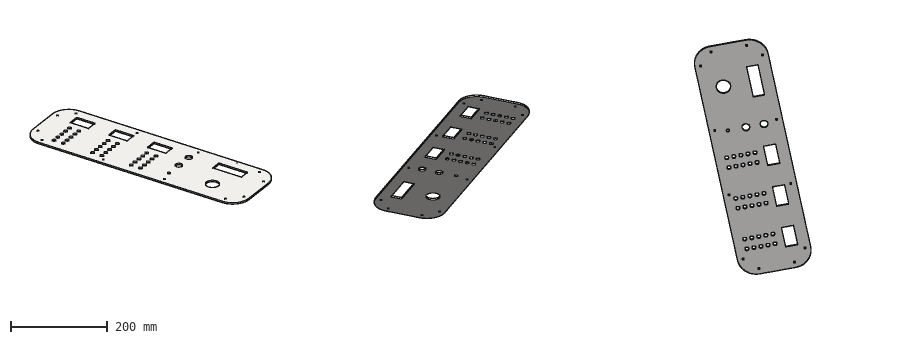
import cadquery as cq

plate_length = 530.0
plate_width = 155.0
plate_thickness = 4.0
corner_radius = 40.0

screw_diameter = 4.0
screw_edge_inset = 12.0
long_edge_screw_pitch = 150.0
long_edge_screw_count = 4
short_edge_screw_pitch = 75.0
short_edge_screw_count = 2

station_count = 3
station_pitch = 95.0
first_station_x = -192.5
window_length = 45.0
window_width = 25.5
window_y = 39.0
grid_columns = 2
grid_rows = 5
grid_column_pitch = 23.0
grid_row_pitch = 15.0
grid_center_y = -23.5
grid_hole_diameter = 8.0

control_x = 69.5
control_count = 2
control_diameter = 16.0
upper_control_y = 37.5
control_pitch = 38.0
indicator_diameter = 6.5

right_group_x = 169.5
wide_window_length = 70.5
wide_window_width = 24.0
wide_window_y = 40.0
round_opening_diameter = 29.5
round_opening_y = -28.0


def spaced(count, pitch, center=0.0):
    """Return evenly pitched positions centred on the given coordinate."""
    return [center + (i - (count - 1) / 2) * pitch for i in range(count)]


def round_cutter(points, diameter):
    """Return cylinders through the full plate thickness."""
    return cq.Workplane("XY").pushPoints(points).circle(diameter / 2).extrude(plate_thickness)


def window_cutter(points, length, width):
    """Return rectangular blocks through the full plate thickness."""
    return cq.Workplane("XY").pushPoints(points).rect(length, width).extrude(plate_thickness)


def make_plate():
    plate = cq.Workplane("XY").rect(plate_length, plate_width).extrude(plate_thickness)
    return plate.edges("|Z").fillet(corner_radius)


def cut_screw_holes(body):
    row_y = plate_width / 2 - screw_edge_inset
    column_x = plate_length / 2 - screw_edge_inset
    row_positions = spaced(long_edge_screw_count, long_edge_screw_pitch)
    column_positions = spaced(short_edge_screw_count, short_edge_screw_pitch)
    points = [(x, y) for x in row_positions for y in (-row_y, row_y)]
    points += [(x, y) for x in (-column_x, column_x) for y in column_positions]
    return body.cut(round_cutter(points, screw_diameter))


def cut_station(body, station_x):
    columns = spaced(grid_columns, grid_column_pitch, station_x)
    rows = spaced(grid_rows, grid_row_pitch, grid_center_y)
    grid_points = [(x, y) for x in columns for y in rows]
    body = body.cut(window_cutter([(station_x, window_y)], window_length, window_width))
    return body.cut(round_cutter(grid_points, grid_hole_diameter))


def cut_control_holes(body):
    control_points = [(control_x, upper_control_y - i * control_pitch) for i in range(control_count)]
    indicator_point = (control_x, upper_control_y - control_count * control_pitch)
    body = body.cut(round_cutter(control_points, control_diameter))
    return body.cut(round_cutter([indicator_point], indicator_diameter))


def cut_right_group(body):
    window_point = (right_group_x, wide_window_y)
    opening_point = (right_group_x, round_opening_y)
    body = body.cut(window_cutter([window_point], wide_window_length, wide_window_width))
    return body.cut(round_cutter([opening_point], round_opening_diameter))


result = make_plate()
result = cut_screw_holes(result)
for station in range(station_count):
    result = cut_station(result, first_station_x + station * station_pitch)
result = cut_control_holes(result)
result = cut_right_group(result)